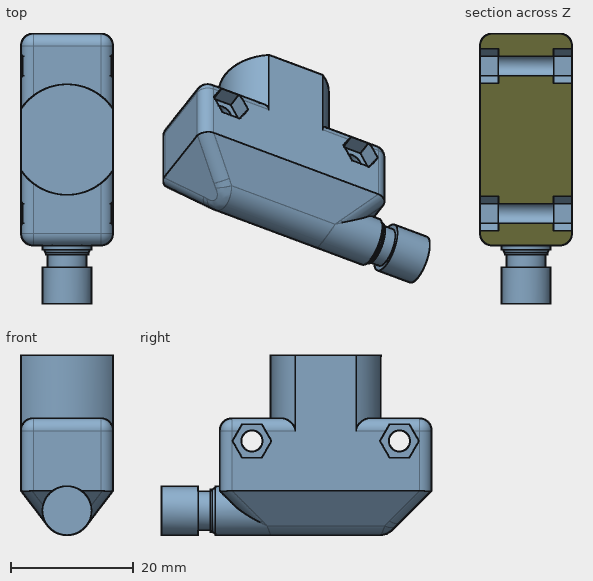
import cadquery as cq
import math

WIDTH = 15.0
LENGTH = 34.5
BLOCK_TOP = 19.05
TAPER_TOP = 7.25
EDGE_RADIUS = 2.0
KEEL_EDGE_RADIUS = 2.5

HEAD_DIAMETER = 18.0
HEAD_TOP = 29.3

OUTLET_RADIUS = 4.0
COLLAR_BASE_RADIUS = 3.75
COLLAR_LIP_RADIUS = 3.5
NECK_RADIUS = 3.2
CAP_LENGTH = 6.0
NECK_LENGTH = 2.0
COLLAR_LIP_LENGTH = 0.3
COLLAR_BEVEL_LENGTH = 0.5
OVERALL_LENGTH = 44.0
OUTLET_END = LENGTH / 2 - OVERALL_LENGTH

BOLT_SPACING = 24.0
BOLT_HEIGHT = 15.35
BOLT_DIAMETER = 3.4
NUT_ACROSS_FLATS = 5.5
NUT_DEPTH = 3.0


def make_housing():
    """Block on a keel whose flanks run tangent to the cable outlet and whose ends slope at 45 degrees."""
    half_width = WIDTH / 2
    half_length = LENGTH / 2

    rise = TAPER_TOP - OUTLET_RADIUS
    corner_distance = math.hypot(half_width, rise)
    tangent_angle = math.atan2(rise, half_width) - math.acos(OUTLET_RADIUS / corner_distance)
    tangent_x = OUTLET_RADIUS * math.cos(tangent_angle)
    tangent_z = OUTLET_RADIUS + OUTLET_RADIUS * math.sin(tangent_angle)

    wedge_height = BLOCK_TOP - TAPER_TOP
    flank_run = (half_width - tangent_x) / (TAPER_TOP - tangent_z)
    wedge_half_width = half_width + flank_run * wedge_height
    wedge_half_length = half_length + wedge_height
    keel_half_length = half_length - TAPER_TOP

    cross_section = (
        cq.Workplane("XZ")
        .moveTo(-wedge_half_width, BLOCK_TOP)
        .lineTo(-tangent_x, tangent_z)
        .threePointArc((0, 0), (tangent_x, tangent_z))
        .lineTo(wedge_half_width, BLOCK_TOP)
        .close()
        .extrude(wedge_half_length, both=True)
    )
    side_profile = (
        cq.Workplane("YZ")
        .moveTo(-wedge_half_length, BLOCK_TOP)
        .lineTo(-keel_half_length, 0)
        .lineTo(keel_half_length, 0)
        .lineTo(wedge_half_length, BLOCK_TOP)
        .close()
        .extrude(wedge_half_width, both=True)
    )
    wedge = cross_section.intersect(side_profile)
    wedge = wedge.faces("<(0, 1, 1) or <(0, -1, 1)").edges("not >Z").fillet(KEEL_EDGE_RADIUS)

    block = (
        cq.Workplane("XY")
        .box(WIDTH, LENGTH, BLOCK_TOP, centered=(True, True, False))
        .edges("|Z or >Z")
        .fillet(EDGE_RADIUS)
    )
    return block.intersect(wedge)


def make_head():
    """Round tower trimmed to the width of the block."""
    tower = (
        cq.Workplane("XY")
        .workplane(offset=TAPER_TOP)
        .circle(HEAD_DIAMETER / 2)
        .extrude(HEAD_TOP - TAPER_TOP)
    )
    trim = cq.Workplane("XY").box(WIDTH, LENGTH, HEAD_TOP, centered=(True, True, False))
    return tower.intersect(trim)


def make_outlet():
    """Stepped round outlet: sleeve, bevelled collar, neck and end cap."""
    cap_start = OUTLET_END + CAP_LENGTH
    neck_start = cap_start + NECK_LENGTH
    lip_start = neck_start + COLLAR_LIP_LENGTH
    sleeve_end = lip_start + COLLAR_BEVEL_LENGTH
    return (
        cq.Workplane("XY")
        .moveTo(0, 0)
        .lineTo(OUTLET_RADIUS, 0)
        .lineTo(OUTLET_RADIUS, sleeve_end)
        .lineTo(COLLAR_BASE_RADIUS, sleeve_end)
        .lineTo(COLLAR_LIP_RADIUS, lip_start)
        .lineTo(COLLAR_LIP_RADIUS, neck_start)
        .lineTo(NECK_RADIUS, neck_start)
        .lineTo(NECK_RADIUS, cap_start)
        .lineTo(OUTLET_RADIUS, cap_start)
        .lineTo(OUTLET_RADIUS, OUTLET_END)
        .lineTo(0, OUTLET_END)
        .close()
        .revolve(360, (0, 0), (0, 1))
        .translate((0, 0, OUTLET_RADIUS))
    )


def make_bolt_cut(y):
    """Through hole along X with a nut pocket sunk into each side."""
    nut_across_corners = NUT_ACROSS_FLATS / math.cos(math.pi / 6)
    side_plane = cq.Workplane("YZ").center(y, BOLT_HEIGHT)
    cut = side_plane.circle(BOLT_DIAMETER / 2).extrude(WIDTH / 2, both=True)
    nut = side_plane.polygon(6, nut_across_corners).extrude(NUT_DEPTH)
    for pocket_start in (-WIDTH / 2, WIDTH / 2 - NUT_DEPTH):
        cut = cut.union(nut.translate((pocket_start, 0, 0)))
    return cut


result = make_housing().union(make_head()).union(make_outlet())
for bolt_y in (-BOLT_SPACING / 2, BOLT_SPACING / 2):
    result = result.cut(make_bolt_cut(bolt_y))